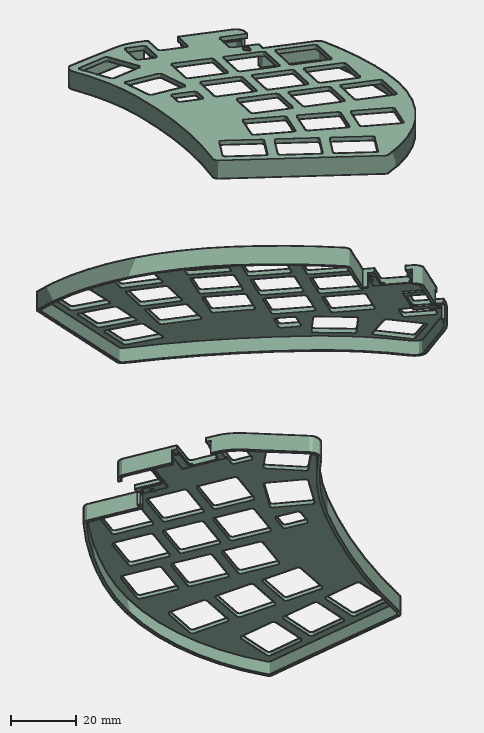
import cadquery as cq
import math

height = 6.0
plate_thickness = 1.5
wall_thickness = 1.0
tool_height = 3 * height

step_x = 18.6
shelf_y = 62.3
left_bend_y = 23.9
bottom_left = (13.9, -1.7)
bottom_right = (106.1, 13.0)
top_right = (120.9, 64.4)
top_left = (step_x, 81.3)

bottom_join = (45.4, 11.0)
bottom_left_radius = 85.6

top_join = (53.5, 90.1)
top_right_radius = 79.0

corner_rounds = [
    ((0, left_bend_y), 17.7),
    (bottom_left, 4.0),
    (bottom_right, 2.0),
    (top_right, 1.2),
    (top_left, 2.5),
    ((0, shelf_y), 3.0),
]

opening_round = 1.0
key_size = 13.9
key_pitch = 17.0
keys_per_column = 3
key_columns = [
    ((28.5, 37.8), 0),
    ((46.6, 40.3), 0),
    ((64.5, 45.5), 0),
    ((83.2, 39.8), 8),
    ((98.9, 25.5), 16),
]
thumb_keys = [((36.7, 20.0), 15), ((18.1, 12.1), 30)]

windows = [((9.3, 25.7), 11.0, 7.0), ((50.5, 25.4), 7.0, 8.5)]

port_width = 9.8
port_depth = 9.4
pad_width = 15.0
pad_depth = 10.0
pad_thickness = 2.0
pad_gap = 0.1
recess_depth = 2.2
recess_round = 0.5
side_port_y = 36.5
side_recess_width = 13.0
shelf_port_x = 10.0
shelf_recess_width = 14.0

slot_center = (17.6, 57.4)
slot_length = 2.5
slot_width = 1.5
slot_rim = 0.4
slot_rim_depth = 0.7


def outline_block():
    """Solid block with the rounded outline of the case."""
    block = (
        cq.Workplane("XY")
        .moveTo(0, shelf_y)
        .lineTo(0, left_bend_y)
        .lineTo(*bottom_left)
        .radiusArc(bottom_join, bottom_left_radius)
        .tangentArcPoint(bottom_right, relative=False)
        .lineTo(*top_right)
        .radiusArc(top_join, -top_right_radius)
        .tangentArcPoint(top_left, relative=False)
        .lineTo(step_x, shelf_y)
        .close()
        .extrude(height)
    )
    for (x, y), radius in corner_rounds:
        corner_edge = cq.selectors.NearestToPointSelector((x, y, height / 2))
        block = block.edges("|Z").edges(corner_edge).fillet(radius)
    return block


def cavity_of(block):
    """Inside of the shell: the outline moved inwards, from the bottom up to the plate."""
    return (
        block.faces("<Z").wires().toPending()
        .offset2D(-wall_thickness)
        .extrude(height - plate_thickness, combine=False)
    )


def rounded_block(width, length, radius, top):
    """Tall block with rounded upright edges, centred on the Z axis, its top face at z = top."""
    return (
        cq.Workplane("XY", origin=(0, 0, top - tool_height))
        .rect(width, length)
        .extrude(tool_height)
        .edges("|Z")
        .fillet(radius)
    )


def opening(center, width, length, tilt=0):
    """Tool for a rounded opening, turned counter-clockwise by tilt degrees."""
    return (
        rounded_block(width, length, opening_round, tool_height)
        .rotate((0, 0, 0), (0, 0, 1), tilt)
        .translate(center)
    )


def port_pad():
    """Thicker plate around a port that enters along +X from the origin."""
    return (
        cq.Workplane("XY", origin=(0, 0, height - pad_thickness))
        .rect(2 * pad_depth, pad_width)
        .extrude(pad_thickness)
    )


def port_cut(recess_width):
    """Tool for a port that enters along +X from the origin."""
    under_plate = height - plate_thickness
    plate_cut = rounded_block(2 * port_depth, port_width, opening_round, tool_height)
    pad_cut = rounded_block(2 * port_depth, port_width + 2 * pad_gap, opening_round, under_plate)
    wall_cut = rounded_block(2 * recess_depth, recess_width, recess_round, under_plate)
    return plate_cut.union(pad_cut).union(wall_cut)


def on_side_edge(shape):
    return shape.translate((0, side_port_y, 0))


def on_shelf_edge(shape):
    return shape.rotate((0, 0, 0), (0, 0, 1), -90).translate((shelf_port_x, shelf_y, 0))


block = outline_block()
pads = on_side_edge(port_pad()).union(on_shelf_edge(port_pad()))
result = block.cut(cavity_of(block).cut(pads))

for (x, y), tilt in key_columns:
    lean = math.radians(tilt)
    for row in range(keys_per_column):
        distance = row * key_pitch
        center = (x + distance * math.sin(lean), y + distance * math.cos(lean))
        result = result.cut(opening(center, key_size, key_size, -tilt))

for center, tilt in thumb_keys:
    result = result.cut(opening(center, key_size, key_size, tilt))

for center, width, length in windows:
    result = result.cut(opening(center, width, length))

result = result.cut(on_side_edge(port_cut(side_recess_width)))
result = result.cut(on_shelf_edge(port_cut(shelf_recess_width)))

for size_increase, depth in [(0, tool_height), (2 * slot_rim, slot_rim_depth)]:
    slot_cut = (
        cq.Workplane("XY", origin=(*slot_center, height))
        .slot2D(slot_length + size_increase, slot_width + size_increase)
        .extrude(-depth)
    )
    result = result.cut(slot_cut)